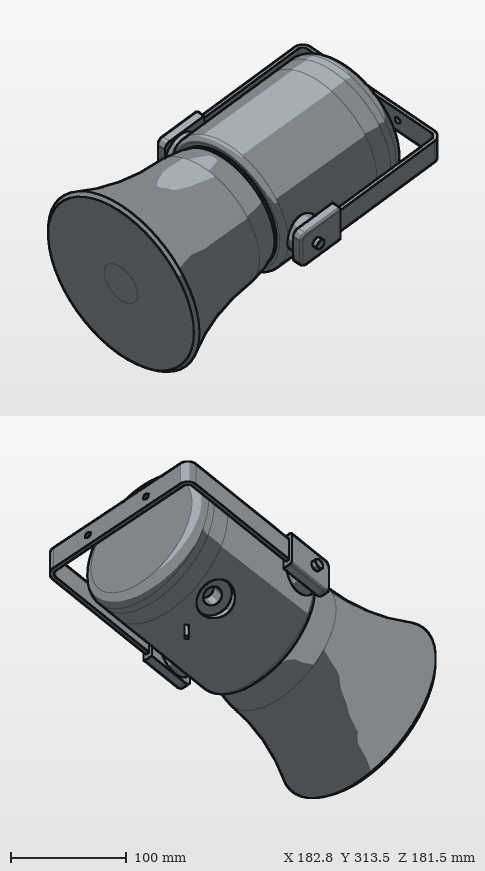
import cadquery as cq


mouth_diameter = 181.5
mouth_radius = mouth_diameter / 2
mouth_chamfer = 3.5
flare_mid_y, flare_mid_radius = 44.0, 75.0
flare_end_y, flare_end_radius = 104.5, 66.0
shoulder_mid_y, shoulder_mid_radius = 118.5, 63.7
shoulder_end_y, shoulder_end_radius = 129.0, 60.5
center_plug_radius = 20.0
center_plug_depth = 3.0

housing_radius = 69.0
housing_front_y, housing_rear_y = 131.7, 282.0
housing_front_fillet = 5.3
housing_rear_fillet = 10.0
collar_front_y, lid_front_y = 247.5, 264.7
neck_radius = 60.2

strap_rear_y = 313.5
strap_width = 167.0
strap_height = 25.7
strap_thickness = 3.8
strap_bend_radius = 9.5
strap_hole_diameter = 6.3
strap_hole_spacing = 67.7

pivot_y = 154.0
pad_inner_x, pad_outer_x = 76.8, 86.5
pad_front_y, pad_rear_y = 135.0, 184.0
pad_height = 39.0
pad_corner_radius = 6.3
pad_edge_fillet = 2.2
boss_diameter = 36.0
pin_diameter = 9.7
pin_span = 182.8
pin_end_x = pin_span / 2

entry_y = 224.0
entry_tilt = 60.0
entry_seat_diameter = 35.8
entry_seat_distance = 60.5
entry_hole_diameter = 17.2
entry_hole_depth = 18.8
stud_diameter = 4.0
stud_end_z = -82.8


def disc_along_y(radius, start_y, end_y):
    """Solid cylinder on the horn axis."""
    return cq.Workplane("XZ", origin=(0, start_y, 0)).circle(radius).extrude(start_y - end_y)


def make_horn():
    """Solid bell with its mouth closed by a flat front and a flush center plug."""
    shoulder = (
        cq.Workplane("XY")
        .moveTo(0, flare_end_y)
        .lineTo(flare_end_radius, flare_end_y)
        .threePointArc((shoulder_mid_radius, shoulder_mid_y), (shoulder_end_radius, shoulder_end_y))
        .lineTo(0, shoulder_end_y)
        .close()
        .revolve(360, (0, 0, 0), (0, 1, 0))
    )
    flare = (
        cq.Workplane("XY")
        .lineTo(mouth_radius - mouth_chamfer, 0)
        .lineTo(mouth_radius, mouth_chamfer)
        .threePointArc((flare_mid_radius, flare_mid_y), (flare_end_radius, flare_end_y))
        .lineTo(0, flare_end_y)
        .close()
        .revolve(360, (0, 0, 0), (0, 1, 0))
    )
    plug = disc_along_y(center_plug_radius, 0, center_plug_depth)
    return flare.union(shoulder, clean=False).union(plug, clean=False)


def make_housing():
    """Canister made of a body, a collar and a lid, on a short neck behind the horn."""
    neck = disc_along_y(neck_radius, shoulder_end_y, housing_front_y)
    body = disc_along_y(housing_radius, housing_front_y, collar_front_y)
    body = body.faces("<Y").edges().fillet(housing_front_fillet)
    collar = disc_along_y(housing_radius, collar_front_y, lid_front_y)
    lid = disc_along_y(housing_radius, lid_front_y, housing_rear_y)
    lid = lid.faces(">Y").edges().fillet(housing_rear_fillet)
    housing = neck
    for section in (body, collar, lid):
        housing = housing.union(section, clean=False)
    return housing


def make_strap():
    """U-shaped flat bar with two mounting holes through its rear span."""
    length = strap_rear_y - pivot_y
    inner_width = strap_width - 2 * strap_thickness
    inner_length = length - strap_thickness
    outer = cq.Workplane("XY").box(strap_width, length, strap_height, centered=(True, False, True))
    outer = outer.faces(">Y").edges("|Z").fillet(strap_bend_radius)
    inner = cq.Workplane("XY").box(inner_width, inner_length, strap_height, centered=(True, False, True))
    inner = inner.faces(">Y").edges("|Z").fillet(strap_bend_radius - strap_thickness)
    holes = (
        cq.Workplane("XZ", origin=(0, length, 0))
        .rarray(strap_hole_spacing, 3, 2, 1)
        .circle(strap_hole_diameter / 2)
        .extrude(strap_thickness)
    )
    return outer.cut(inner).cut(holes).translate((0, pivot_y, 0))


def make_pivot():
    """Pad, boss and pin on the +X side."""
    pad = cq.Workplane("XY").box(
        pad_outer_x - pad_inner_x, pad_rear_y - pad_front_y, pad_height, centered=(False, False, True)
    )
    pad = pad.translate((pad_inner_x, pad_front_y, 0))
    pad = pad.faces("<Y").edges("|X").fillet(pad_corner_radius)
    pad = pad.faces(">X").edges("not >Y").fillet(pad_edge_fillet)
    pivot = cq.Workplane("YZ", origin=(0, pivot_y, 0))
    boss = pivot.circle(boss_diameter / 2).extrude(pad_inner_x)
    pin = pivot.circle(pin_diameter / 2).extrude(pin_end_x)
    return pad.union(boss).union(pin)


def make_cable_entry():
    """Material to remove for the spot-faced seat and the blind cable hole."""
    axis = cq.Workplane("YZ", origin=(0, entry_y, 0))
    seat = (
        axis.workplane(offset=entry_seat_distance)
        .circle(entry_seat_diameter / 2)
        .extrude(housing_radius)
    )
    hole = (
        axis.workplane(offset=entry_seat_distance - entry_hole_depth)
        .circle(entry_hole_diameter / 2)
        .extrude(housing_radius)
    )
    return seat.union(hole).rotate((0, 0, 0), (0, 1, 0), 180 - entry_tilt)


def make_stud():
    """Thin round stud hanging from the underside of the housing."""
    return cq.Workplane("XY", origin=(0, entry_y, 0)).circle(stud_diameter / 2).extrude(stud_end_z)


pivot_right = make_pivot()
pivot_left = pivot_right.mirror("YZ")
result = make_housing()
for piece in (make_horn(), pivot_right, pivot_left, make_strap(), make_stud()):
    result = result.union(piece, clean=False)
result = result.cut(make_cable_entry(), clean=False)